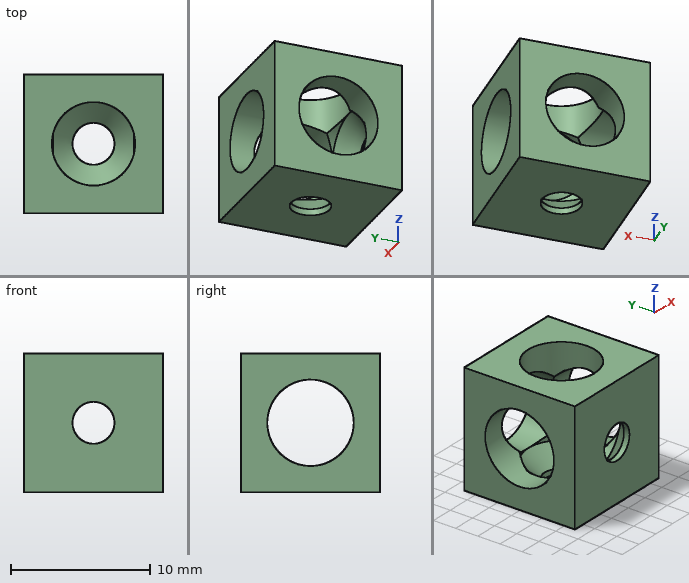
import cadquery as cq

SIDE = 10
CROSS_BORE_DIAMETER = 6.2
LARGE_DIAMETER = 6
SMALL_DIAMETER = 3
CONE_START = 3
CONE_LENGTH = (LARGE_DIAMETER - SMALL_DIAMETER) / 2

half_side = SIDE / 2
large_radius = LARGE_DIAMETER / 2
small_radius = SMALL_DIAMETER / 2
cone_end = CONE_START + CONE_LENGTH


def stepped_bore():
    """Bore along Z through the cube, wide at the top and small at the bottom."""
    profile = [
        (0, half_side),
        (large_radius, half_side),
        (large_radius, -CONE_START),
        (small_radius, -cone_end),
        (small_radius, -half_side),
        (0, -half_side),
    ]
    return cq.Workplane("XZ").polyline(profile).close().revolve(360, (0, 0), (0, 1))


cube = cq.Workplane("XY").box(SIDE, SIDE, SIDE)
cross_bore = cq.Workplane("YZ").circle(CROSS_BORE_DIAMETER / 2).extrude(half_side, both=True)
vertical_bore = stepped_bore()
depth_bore = stepped_bore().rotate((0, 0, 0), (1, 0, 0), -90)

result = cube.cut(cross_bore).cut(vertical_bore).cut(depth_bore)